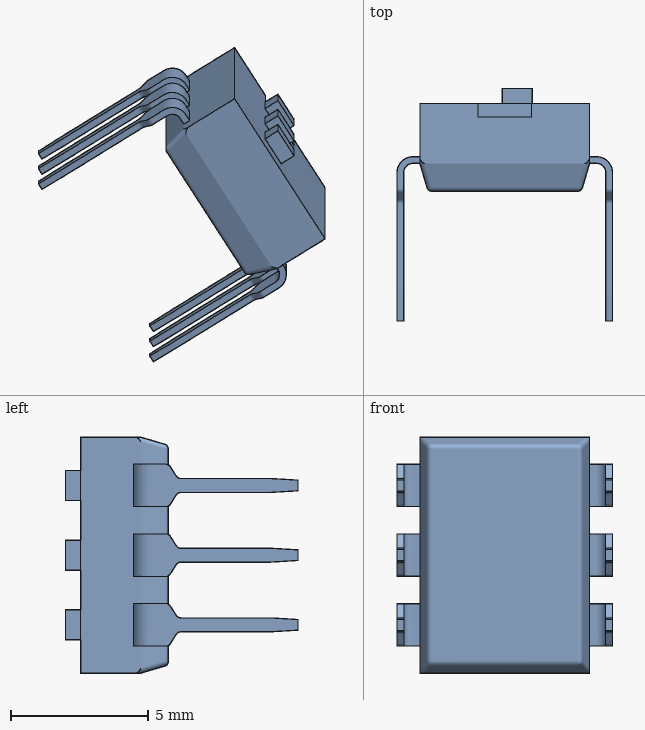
import cadquery as cq
import math

lead_span = 7.87
total_depth = 8.49
body_height = 8.62

body_width = 6.2
body_depth = 3.21
straight_depth = 2.2
draft_angle = 16.5
housing_radius = 0.19

notch_width = 1.965
notch_depth = 0.5
notch_height = 1.0

pitch = 2.54
positions_per_side = 3
slider_size = 1.1
slider_offset = 0.46
slider_height = 0.55

lead_thickness = 0.25
bend_radius = 0.59
lead_top = 1.94
shoulder_half_width = 0.78
shank_half_width = 0.26
tip_half_width = 0.2
shoulder_end = 3.22
shank_start = 3.55
tip_taper_start = 6.94
shoulder_radius = 0.2

selection_margin = 0.09

lead_end = total_depth - slider_height
z_positions = [pitch * (i - (positions_per_side - 1) / 2) for i in range(positions_per_side)]


def make_housing():
    """Square block with a drafted, rounded front and a notch in its upper back edge."""
    block = (
        cq.Workplane("XZ")
        .rect(body_width, body_height)
        .extrude(straight_depth)
    )
    front = (
        cq.Workplane("XZ", origin=(0, -straight_depth, 0))
        .rect(body_width, body_height)
        .extrude(body_depth - straight_depth, taper=draft_angle)
    )
    front_zone = cq.selectors.BoxSelector(
        (-body_width, -straight_depth - selection_margin, -body_height),
        (body_width, -body_depth - selection_margin, body_height),
    )
    housing = block.union(front).edges(front_zone).fillet(housing_radius)
    notch = (
        cq.Workplane("XY")
        .box(notch_width, notch_depth, notch_height, centered=(True, False, False))
        .translate((0, -notch_depth, body_height / 2 - notch_height))
    )
    return housing.cut(notch)


def make_slider(z):
    """Square slider standing on the housing back."""
    return (
        cq.Workplane("XZ", origin=(slider_offset, 0, z))
        .rect(slider_size, slider_size)
        .extrude(-slider_height)
    )


def make_lead(side, z):
    """Bent strip on one side (+1 or -1 along X), narrowed from a shoulder to a tapered tip."""
    root = side * body_width / 2
    outer = side * lead_span / 2
    inner = outer - side * lead_thickness
    bend_center_x = outer - side * bend_radius
    bend_center_y = -lead_top - bend_radius
    inner_radius = bend_radius - lead_thickness
    diagonal = math.cos(math.radians(45))

    strip = (
        cq.Workplane("XY", origin=(0, 0, z))
        .moveTo(root, -lead_top)
        .lineTo(bend_center_x, -lead_top)
        .threePointArc(
            (bend_center_x + side * bend_radius * diagonal, bend_center_y + bend_radius * diagonal),
            (outer, bend_center_y),
        )
        .lineTo(outer, -lead_end)
        .lineTo(inner, -lead_end)
        .lineTo(inner, bend_center_y)
        .threePointArc(
            (bend_center_x + side * inner_radius * diagonal, bend_center_y + inner_radius * diagonal),
            (bend_center_x, -lead_top - lead_thickness),
        )
        .lineTo(root, -lead_top - lead_thickness)
        .close()
        .extrude(shoulder_half_width, both=True)
    )

    half_outline = [
        (-lead_top, shoulder_half_width),
        (-shoulder_end, shoulder_half_width),
        (-shank_start, shank_half_width),
        (-tip_taper_start, shank_half_width),
        (-lead_end, tip_half_width),
    ]
    mirrored_half = [(y, -half_width) for y, half_width in reversed(half_outline)]
    shoulder_zone = cq.selectors.BoxSelector(
        (-lead_span, -shank_start - selection_margin, -body_height),
        (lead_span, -shoulder_end + selection_margin, body_height),
    )
    blade = (
        cq.Workplane("YZ", origin=(0, 0, z))
        .polyline(half_outline + mirrored_half)
        .close()
        .extrude(lead_span, both=True)
        .edges("|X")
        .edges(shoulder_zone)
        .fillet(shoulder_radius)
    )
    return strip.intersect(blade)


housing = make_housing()
sliders = [make_slider(z) for z in z_positions]
leads = [make_lead(side, z) for side in (-1, 1) for z in z_positions]

result = cq.Compound.makeCompound(
    [housing.val()] + [slider.val() for slider in sliders] + [lead.val() for lead in leads]
)